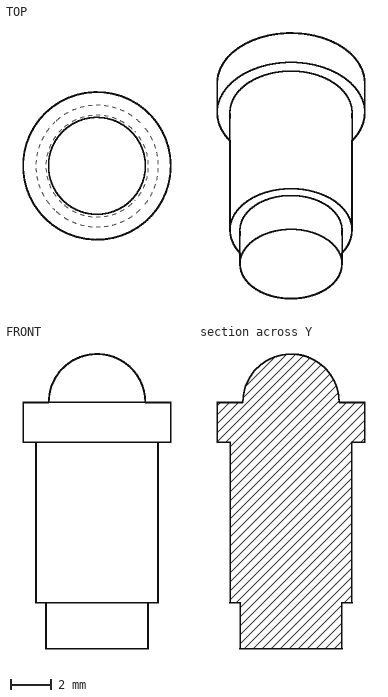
import cadquery as cq

tail_diameter = 5.1
tail_length = 2.3
body_diameter = 6.1
body_length = 8.0
flange_diameter = 7.38
flange_thickness = 2.0
nose_radius = 2.42

body_bottom = tail_length
flange_bottom = body_bottom + body_length
nose_center = flange_bottom + flange_thickness


def cylinder(diameter, bottom, height):
    """Round section centred on the Z axis."""
    return cq.Workplane("XY", origin=(0, 0, bottom)).circle(diameter / 2).extrude(height)


def hemisphere(radius, bottom):
    """Upper half of a ball whose flat face lies at the given height."""
    quarter_disc = (
        cq.Workplane("XZ", origin=(0, 0, bottom))
        .lineTo(radius, 0)
        .radiusArc((0, radius), -radius)
        .close()
    )
    return quarter_disc.revolve(360, (0, 0), (0, 1))


tail = cylinder(tail_diameter, 0, tail_length)
body = cylinder(body_diameter, body_bottom, body_length)
flange = cylinder(flange_diameter, flange_bottom, flange_thickness)
nose = hemisphere(nose_radius, nose_center)

result = tail.union(body).union(flange).union(nose)